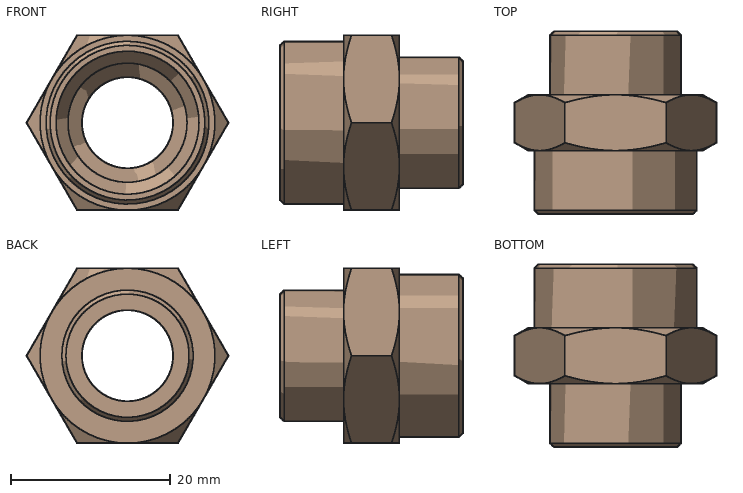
import cadquery as cq
import math

hex_corners = 25.4
hex_flats = hex_corners * math.cos(math.radians(30))
hex_width = 7.0
hex_chamfer_angle = 30.0

end_length = 8.0
large_diameter = 20.47
small_diameter = 16.5
end_chamfer = 0.5

mouth_diameter = 17.98
wide_bore_diameter = 14.99
through_diameter = 11.43
entry_cone_angle = 45.0
wide_bore_depth = 11.43
drill_point_angle = 59.0

total_length = 2 * end_length + hex_width
hex_start = end_length
hex_end = hex_start + hex_width


def cone_length(first_diameter, second_diameter, half_angle):
    """Axial length of a cone whose wall is half_angle from the axis."""
    return abs(first_diameter - second_diameter) / 2 / math.tan(math.radians(half_angle))


def revolve_profile(points):
    """Revolve a closed (radius, Y) profile about the Y axis."""
    return cq.Workplane("XY").polyline(points).close().revolve(360, (0, 0, 0), (0, 1, 0))


def hex_collar():
    """Hexagon with its corners cut by a cone on both faces."""
    flat_radius = hex_flats / 2
    middle = (hex_start + hex_end) / 2
    peak_radius = flat_radius + hex_width / 2 / math.tan(math.radians(hex_chamfer_angle))
    envelope = revolve_profile([
        (0, hex_start),
        (flat_radius, hex_start),
        (peak_radius, middle),
        (flat_radius, hex_end),
        (0, hex_end),
    ])
    prism = (
        cq.Workplane("XZ", origin=(0, hex_start, 0))
        .polygon(6, hex_corners)
        .extrude(-hex_width)
    )
    return prism.intersect(envelope)


def threaded_end(diameter, start, outward):
    """Plain cylinder from start along Y, chamfered at its free end."""
    radius = diameter / 2
    tip = start + outward * end_length
    return revolve_profile([
        (0, start),
        (radius, start),
        (radius, tip - outward * end_chamfer),
        (radius - end_chamfer, tip),
        (0, tip),
    ])


def bore():
    entry_end = cone_length(mouth_diameter, wide_bore_diameter, entry_cone_angle)
    drill_end = wide_bore_depth + cone_length(
        wide_bore_diameter, through_diameter, drill_point_angle
    )
    return revolve_profile([
        (0, 0),
        (mouth_diameter / 2, 0),
        (wide_bore_diameter / 2, entry_end),
        (wide_bore_diameter / 2, wide_bore_depth),
        (through_diameter / 2, drill_end),
        (through_diameter / 2, total_length),
        (0, total_length),
    ])


result = (
    hex_collar()
    .union(threaded_end(large_diameter, hex_start, -1))
    .union(threaded_end(small_diameter, hex_end, 1))
    .cut(bore())
    .translate((0, -total_length / 2, 0))
)